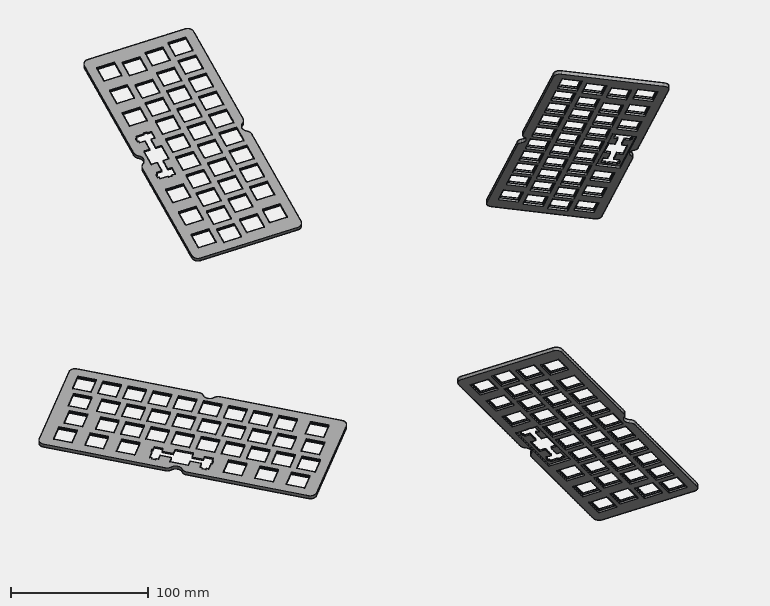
import cadquery as cq
import math

UNIT = 19.05
FIELD_UNITS = 10.5
BORDER = 5.0

THICKNESS = 3.0
CORNER_RADIUS = UNIT / 4
LENGTH = FIELD_UNITS * UNIT + 2 * BORDER

SWITCH_SIZE = 14.0

LIP_THICKNESS = 1.4
RELIEF_DEPTH = THICKNESS - LIP_THICKNESS
SWITCH_RELIEF_SIZE = 15.0
STABILIZER_RELIEF_MARGIN = 1.6

SPACEBAR_UNITS = 3.0
KEY_ROWS = [
    [1.0] * 9 + [1.5],
    [1.25] + [1.0] * 8 + [1.25],
    [1.5] + [1.0] * 9,
    [1.25] * 3 + [SPACEBAR_UNITS] + [1.25] * 3,
]
WIDTH = len(KEY_ROWS) * UNIT + 2 * BORDER

STABILIZER_OFFSET = UNIT
STABILIZER_WIDTH = 6.65
STABILIZER_TOP = 5.53
STABILIZER_BOTTOM = -6.6
FOOT_WIDTH = 3.05
FOOT_BOTTOM = -7.75
CLIP_REACH = 4.2
CLIP_TOP = 2.3
CLIP_BOTTOM = -0.5
WIRE_SLOT_HEIGHT = 4.6

NOTCH_DEPTH = 4.25
NOTCH_MOUTH = 16.35


def box_between(x_min, x_max, y_min, y_max, height=THICKNESS):
    """Block rising from the underside with the given plan limits; full thickness by default."""
    return (
        cq.Workplane("XY")
        .center((x_min + x_max) / 2, (y_min + y_max) / 2)
        .rect(x_max - x_min, y_max - y_min)
        .extrude(height)
    )


def make_plate():
    """Rounded rectangular plate centred on the origin, resting on Z = 0."""
    return cq.Workplane("XY").rect(LENGTH, WIDTH).extrude(THICKNESS).edges("|Z").fillet(CORNER_RADIUS)


def key_centres():
    """Return (x, y, width in units) for every key."""
    keys = []
    for row, widths in enumerate(KEY_ROWS):
        y = ((len(KEY_ROWS) - 1) / 2 - row) * UNIT
        left = -FIELD_UNITS / 2
        for width in widths:
            keys.append(((left + width / 2) * UNIT, y, width))
            left += width
    return keys


def square_cutters(points, size, height):
    """Square blocks rising from the underside, one centred on each point."""
    return cq.Workplane("XY").pushPoints(points).rect(size, size).extrude(height)


def make_stabilizer(side):
    """Stabilizer opening about the spacebar centre; side is -1 (left) or +1 (right)."""
    centre = side * STABILIZER_OFFSET
    half_width = STABILIZER_WIDTH / 2
    half_foot = FOOT_WIDTH / 2
    half_slot = WIRE_SLOT_HEIGHT / 2
    housing = box_between(centre - half_width, centre + half_width, STABILIZER_BOTTOM, STABILIZER_TOP)
    foot = box_between(centre - half_foot, centre + half_foot, FOOT_BOTTOM, STABILIZER_TOP)
    clip_x = sorted([centre, centre + side * CLIP_REACH])
    clip = box_between(*clip_x, CLIP_BOTTOM, CLIP_TOP)
    slot_x = sorted([0, centre])
    wire_slot = box_between(*slot_x, -half_slot, half_slot)
    return housing.union(foot).union(clip).union(wire_slot)


def make_stabilizer_relief():
    """Rectangular underside pocket around the whole spacebar opening."""
    half_length = STABILIZER_OFFSET + CLIP_REACH + STABILIZER_RELIEF_MARGIN
    top = SWITCH_SIZE / 2 + STABILIZER_RELIEF_MARGIN
    bottom = FOOT_BOTTOM - STABILIZER_RELIEF_MARGIN
    return box_between(-half_length, half_length, bottom, top, RELIEF_DEPTH)


def make_notch(side):
    """Notch cutter with blended shoulders; side is +1 (+Y edge) or -1 (-Y edge)."""
    mouth_half = NOTCH_MOUTH / 2
    floor_half = mouth_half / 2
    sweep = 2 * math.atan(NOTCH_DEPTH / mouth_half)
    radius = floor_half / math.sin(sweep)
    mid_run = radius * math.sin(sweep / 2)
    mid_rise = radius * (1 - math.cos(sweep / 2))
    edge = WIDTH / 2

    def at(x, depth):
        return (x, side * (edge - depth))

    return (
        cq.Workplane("XY")
        .moveTo(*at(-mouth_half, 0))
        .threePointArc(at(-mouth_half + mid_run, mid_rise), at(-floor_half, NOTCH_DEPTH / 2))
        .threePointArc(at(0, NOTCH_DEPTH), at(floor_half, NOTCH_DEPTH / 2))
        .threePointArc(at(mouth_half - mid_run, mid_rise), at(mouth_half, 0))
        .close()
        .extrude(THICKNESS)
    )


keys = key_centres()
switch_points = [(x, y) for x, y, width in keys]
switches = square_cutters(switch_points, SWITCH_SIZE, THICKNESS)
switch_reliefs = square_cutters(switch_points, SWITCH_RELIEF_SIZE, RELIEF_DEPTH)

result = make_plate().cut(switches).cut(switch_reliefs)
for x, y, width in keys:
    if width == SPACEBAR_UNITS:
        result = result.cut(make_stabilizer_relief().translate((x, y, 0)))
        for side in (-1, 1):
            result = result.cut(make_stabilizer(side).translate((x, y, 0)))
for side in (-1, 1):
    result = result.cut(make_notch(side))